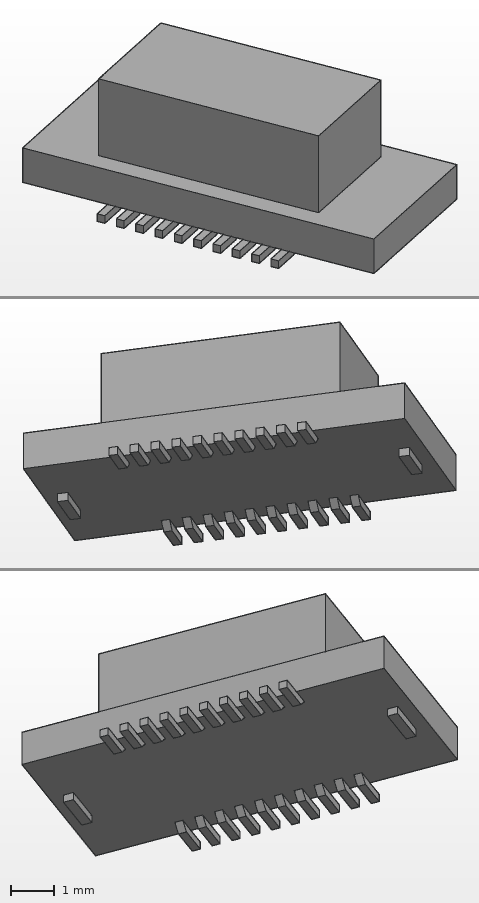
import cadquery as cq

base_length = 9.1
base_width = 4.0
base_height = 0.9

block_length = 5.7
block_width = 3.0
block_height = 2.0

lead_count = 10
lead_pitch = 0.5
lead_width = 0.2
lead_height = 0.2
lead_foot_length = 0.75
lead_span = 5.0

tab_width = 0.25
tab_length = 1.0
tab_inset = 0.35

base_bottom = lead_height
base_top = base_bottom + base_height


def box_on(z, size_x, size_y, size_z, x=0.0):
    """Box centred on (x, 0) with its bottom face at height z."""
    return cq.Workplane("XY").box(size_x, size_y, size_z, centered=(True, True, False)).translate((x, 0, z))


def lead(x, side):
    """Lead at position x; side is +1 or -1 along Y. Its inner end slopes at 45 degrees."""
    tip = lead_span / 2
    inner_bottom = tip - lead_foot_length
    inner_top = inner_bottom - lead_height
    profile = [
        (side * tip, 0),
        (side * tip, lead_height),
        (side * inner_top, lead_height),
        (side * inner_bottom, 0),
    ]
    return (
        cq.Workplane("YZ")
        .workplane(offset=x - lead_width / 2)
        .polyline(profile)
        .close()
        .extrude(lead_width)
    )


result = box_on(base_bottom, base_length, base_width, base_height)
result = result.union(box_on(base_top, block_length, block_width, block_height))

first_lead_x = -lead_pitch * (lead_count - 1) / 2
for index in range(lead_count):
    for side in (-1, 1):
        result = result.union(lead(first_lead_x + index * lead_pitch, side))

tab_offset = base_length / 2 - tab_inset - tab_width / 2
for tab_x in (-tab_offset, tab_offset):
    result = result.union(box_on(0, tab_width, tab_length, lead_height, tab_x))